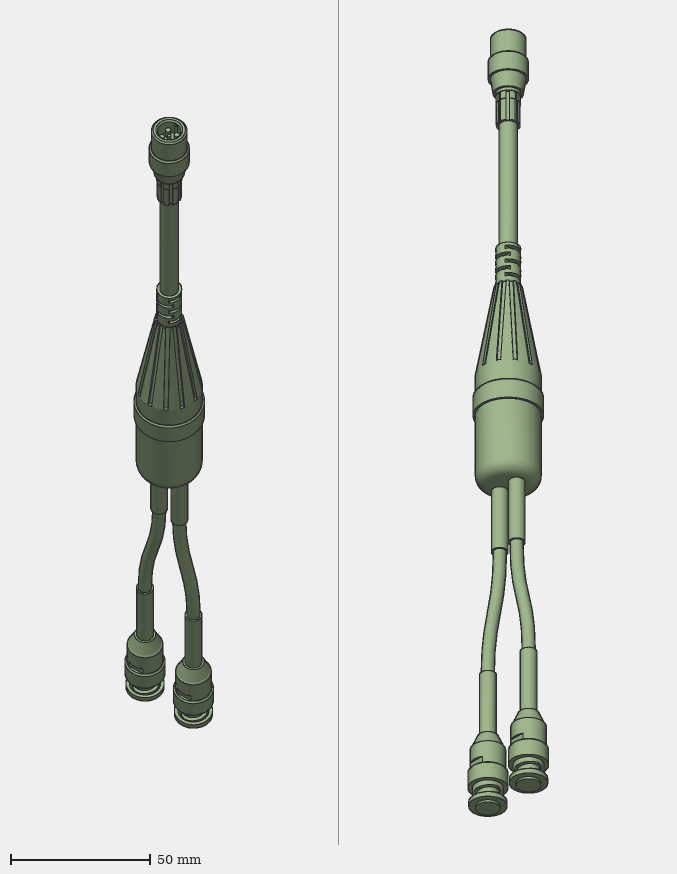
import cadquery as cq
import math


SEAM_Z = 169.7
TAPER_BOTTOM_Z = 178.0
TAPER_TOP_Z = 215.7
HOUSING_DIA = 23.8
TAPER_TOP_DIA = 10.3
TAPER_GROOVES = 12
TAPER_GROOVE_WIDTH = 1.5
TAPER_GROOVE_DEPTH = 1.0

COLLAR_DIA = 9.0
COLLAR_TOP_Z = 232.0
NOTCH_COUNT = 5
NOTCH_FIRST_Z = 230.2
NOTCH_PITCH = 3.0
NOTCH_HEIGHT = 1.3
NOTCH_CORE_WIDTH = 4.8

TRUNK_DIA = 6.8
SLEEVE_BOTTOM_Z = 284.2
SLEEVE_STEP_Z = 293.2
SLEEVE_RIM_Z = 296.5
SLEEVE_TOP_Z = 297.7
SLEEVE_DIA = 8.7
SLEEVE_HEAD_DIA = 9.0
SLEEVE_RIM_DIA = 9.3
SLEEVE_GROOVES = 8
SLEEVE_GROOVE_WIDTH = 1.3
SLEEVE_GROOVE_DEPTH = 0.5

SOCKET_TOP_Z = 321.5
SOCKET_DIA = 13.0
SOCKET_BASE_DIA = 11.0
SOCKET_RING_DIA = 14.5
SOCKET_RING_BOTTOM_Z = 303.8
SOCKET_RING_TOP_Z = 312.0
SOCKET_BORE_DIA = 8.5
SOCKET_BORE_DEPTH = 6.5
CONTACT_DIA = 2.0
CONTACT_OFFSET = 2.0
CENTER_CONTACT_DIA = 1.3
CONTACT_HEIGHT = 3.2
KEY_DIA = 1.3
KEY_HEIGHT = 5.0
EDGE_CHAMFER = 0.5

BAND_DIA = 25.5
BAND_BOTTOM_Z = 161.5
HOUSING_BOTTOM_Z = 131.5
HOUSING_BOTTOM_RADIUS = 4.5

BRANCH_DIA = 4.8
BRANCH_SLEEVE_DIA = 6.0
BRANCH_TOP_X = 4.5
UPPER_SLEEVE_BOTTOM_Z = 105.8
BEND_TOP_Z = 103.2
BEND_BOTTOM_Z = 59.0
LOWER_SLEEVE_TOP_Z = 56.5

OVERALL_WIDTH = 36.0
PLUG_RING_DIA = 14.5
PLUG_X = (OVERALL_WIDTH - PLUG_RING_DIA) / 2
PLUG_TIP_DIA = 9.0
PLUG_FLANGE_DIA = 13.8
PLUG_FLANGE_BOTTOM_Z = 1.0
PLUG_FLANGE_TOP_Z = 3.0
PLUG_NECK_DIA = 11.3
PLUG_RING_BOTTOM_Z = 8.7
PLUG_RING_TOP_Z = 15.8
PLUG_BODY_DIA = 13.0
PLUG_BODY_TOP_Z = 25.5
PLUG_CONE_DIA = 12.0
PLUG_CONE_TOP_DIA = 7.7
PLUG_CONE_TOP_Z = 30.2
FLAT_TOP_Z = 18.3
BAYONET_LENGTH = 9.5
BAYONET_WIDTH = 3.0
BAYONET_SLOPE = 5
BAYONET_Z = 5.0
BAYONET_FLOOR_DIA = 8.5
BAYONET_DIRECTIONS = (-47, 133)


def turned(steps):
    """Solid of revolution about Z from (diameter, z) steps, listed from bottom to top."""
    radii = [(dia / 2, z) for dia, z in steps]
    points = [(0, steps[0][1])] + radii + [(0, steps[-1][1])]
    return cq.Workplane("XZ").polyline(points).close().revolve(360, (0, 0, 0), (0, 1, 0))


def cylinder(dia, bottom_z, top_z, x=0.0):
    return cq.Workplane("XY", origin=(x, 0, bottom_z)).circle(dia / 2).extrude(top_z - bottom_z)


def block(x_size, y_size, bottom_z, top_z):
    return cq.Workplane("XY").workplane(offset=bottom_z).rect(x_size, y_size).extrude(top_z - bottom_z)


def cut_grooves(body, floor_bottom, floor_top, outer_radius, width, count):
    """Cut evenly spaced grooves along Z whose floor runs between two (radius, z) points."""
    outline = [floor_bottom, floor_top, (outer_radius, floor_top[1]), (outer_radius, floor_bottom[1])]
    cutter = cq.Workplane("XZ").polyline(outline).close().extrude(width / 2, both=True)
    for i in range(count):
        body = body.cut(cutter.rotate((0, 0, 0), (0, 0, 1), i * 360 / count))
    return body


def make_taper():
    taper = turned([
        (HOUSING_DIA, SEAM_Z),
        (HOUSING_DIA, TAPER_BOTTOM_Z),
        (TAPER_TOP_DIA, TAPER_TOP_Z),
    ])
    floor_bottom = (HOUSING_DIA / 2 - TAPER_GROOVE_DEPTH, TAPER_BOTTOM_Z)
    floor_top = (TAPER_TOP_DIA / 2 - TAPER_GROOVE_DEPTH, TAPER_TOP_Z)
    return cut_grooves(taper, floor_bottom, floor_top, HOUSING_DIA, TAPER_GROOVE_WIDTH, TAPER_GROOVES)


def make_collar():
    collar = cylinder(COLLAR_DIA, TAPER_TOP_Z, COLLAR_TOP_Z)
    for i in range(NOTCH_COUNT):
        center_z = NOTCH_FIRST_Z - i * NOTCH_PITCH
        bottom_z = center_z - NOTCH_HEIGHT / 2
        top_z = center_z + NOTCH_HEIGHT / 2
        if i % 2 == 0:
            core = block(NOTCH_CORE_WIDTH, COLLAR_DIA, bottom_z, top_z)
        else:
            core = block(COLLAR_DIA, NOTCH_CORE_WIDTH, bottom_z, top_z)
        collar = collar.cut(block(COLLAR_DIA, COLLAR_DIA, bottom_z, top_z).cut(core))
    return collar


def make_sleeve():
    sleeve = turned([
        (SLEEVE_DIA, SLEEVE_BOTTOM_Z),
        (SLEEVE_DIA, SLEEVE_STEP_Z),
        (SLEEVE_HEAD_DIA, SLEEVE_STEP_Z),
        (SLEEVE_HEAD_DIA, SLEEVE_RIM_Z),
        (SLEEVE_RIM_DIA, SLEEVE_RIM_Z),
        (SLEEVE_RIM_DIA, SLEEVE_TOP_Z),
    ])
    floor_radius = SLEEVE_DIA / 2 - SLEEVE_GROOVE_DEPTH
    floor_bottom = (floor_radius, SLEEVE_BOTTOM_Z)
    floor_top = (floor_radius, SLEEVE_RIM_Z)
    return cut_grooves(
        sleeve, floor_bottom, floor_top, SLEEVE_HEAD_DIA, SLEEVE_GROOVE_WIDTH, SLEEVE_GROOVES
    )


def make_socket():
    socket = turned([
        (SOCKET_BASE_DIA, SLEEVE_TOP_Z),
        (SOCKET_DIA, SOCKET_RING_BOTTOM_Z),
        (SOCKET_RING_DIA, SOCKET_RING_BOTTOM_Z),
        (SOCKET_RING_DIA, SOCKET_RING_TOP_Z - EDGE_CHAMFER),
        (SOCKET_RING_DIA - 2 * EDGE_CHAMFER, SOCKET_RING_TOP_Z),
        (SOCKET_DIA, SOCKET_RING_TOP_Z),
        (SOCKET_DIA, SOCKET_TOP_Z - EDGE_CHAMFER),
        (SOCKET_DIA - 2 * EDGE_CHAMFER, SOCKET_TOP_Z),
    ])
    bore_floor_z = SOCKET_TOP_Z - SOCKET_BORE_DEPTH
    socket = socket.cut(turned([
        (SOCKET_BORE_DIA, bore_floor_z),
        (SOCKET_BORE_DIA, SOCKET_TOP_Z - EDGE_CHAMFER),
        (SOCKET_BORE_DIA + 2 * EDGE_CHAMFER, SOCKET_TOP_Z),
    ]))
    bore_floor = cq.Workplane("XY").workplane(offset=bore_floor_z)
    outer_contacts = (
        bore_floor.rect(2 * CONTACT_OFFSET, 2 * CONTACT_OFFSET, forConstruction=True).vertices()
        .circle(CONTACT_DIA / 2).extrude(CONTACT_HEIGHT)
    )
    center_contact = bore_floor.circle(CENTER_CONTACT_DIA / 2).extrude(CONTACT_HEIGHT)
    key = bore_floor.center(0, SOCKET_BORE_DIA / 2).circle(KEY_DIA / 2).extrude(KEY_HEIGHT)
    return socket.union(outer_contacts).union(center_contact).union(key)


def make_upper_assembly():
    """First body: everything above the housing seam."""
    trunk = cylinder(TRUNK_DIA, COLLAR_TOP_Z, SLEEVE_BOTTOM_Z)
    return make_taper().union(make_collar()).union(trunk).union(make_sleeve()).union(make_socket())


def make_lower_housing():
    barrel = cylinder(HOUSING_DIA, HOUSING_BOTTOM_Z, SEAM_Z).faces("<Z").edges().fillet(HOUSING_BOTTOM_RADIUS)
    band = cylinder(BAND_DIA, BAND_BOTTOM_Z, SEAM_Z).faces(">Z").edges().chamfer(EDGE_CHAMFER)
    return barrel.union(band)


def make_branch_cable():
    """Right-hand branch: two sleeves joined by a thin cable with an S-bend of two equal arcs."""
    half_shift = (PLUG_X - BRANCH_TOP_X) / 2
    half_height = (BEND_TOP_Z - BEND_BOTTOM_Z) / 2
    bend_radius = (half_shift ** 2 + half_height ** 2) / (2 * half_shift)
    half_angle = math.asin(half_height / bend_radius) / 2
    sag_x = bend_radius * (1 - math.cos(half_angle))
    sag_z = bend_radius * math.sin(half_angle)
    middle = (BRANCH_TOP_X + half_shift, BEND_TOP_Z - half_height)
    path = (
        cq.Workplane("XZ").moveTo(BRANCH_TOP_X, UPPER_SLEEVE_BOTTOM_Z).lineTo(BRANCH_TOP_X, BEND_TOP_Z)
        .threePointArc((BRANCH_TOP_X + sag_x, BEND_TOP_Z - sag_z), middle)
        .threePointArc((PLUG_X - sag_x, BEND_BOTTOM_Z + sag_z), (PLUG_X, BEND_BOTTOM_Z))
        .lineTo(PLUG_X, LOWER_SLEEVE_TOP_Z)
    )
    start = cq.Workplane("XY", origin=(BRANCH_TOP_X, 0, UPPER_SLEEVE_BOTTOM_Z))
    cable = start.circle(BRANCH_DIA / 2).sweep(path)
    upper_sleeve = cylinder(BRANCH_SLEEVE_DIA, UPPER_SLEEVE_BOTTOM_Z, HOUSING_BOTTOM_Z, BRANCH_TOP_X)
    lower_sleeve = cylinder(BRANCH_SLEEVE_DIA, PLUG_CONE_TOP_Z, LOWER_SLEEVE_TOP_Z, PLUG_X)
    return cable.union(upper_sleeve).union(lower_sleeve)


def make_plug():
    """Bayonet plug standing on the Z axis."""
    plug = turned([
        (PLUG_TIP_DIA, 0),
        (PLUG_TIP_DIA, PLUG_FLANGE_BOTTOM_Z),
        (PLUG_FLANGE_DIA, PLUG_FLANGE_BOTTOM_Z),
        (PLUG_FLANGE_DIA, PLUG_FLANGE_TOP_Z),
        (PLUG_NECK_DIA, PLUG_FLANGE_TOP_Z),
        (PLUG_NECK_DIA, PLUG_RING_BOTTOM_Z),
        (PLUG_RING_DIA, PLUG_RING_BOTTOM_Z),
        (PLUG_RING_DIA, PLUG_RING_TOP_Z - EDGE_CHAMFER),
        (PLUG_RING_DIA - 2 * EDGE_CHAMFER, PLUG_RING_TOP_Z),
        (PLUG_BODY_DIA, PLUG_RING_TOP_Z),
        (PLUG_BODY_DIA, PLUG_BODY_TOP_Z - EDGE_CHAMFER),
        (PLUG_CONE_DIA, PLUG_BODY_TOP_Z),
        (PLUG_CONE_TOP_DIA, PLUG_CONE_TOP_Z),
    ])
    band = block(PLUG_BODY_DIA, PLUG_BODY_DIA, PLUG_RING_TOP_Z, FLAT_TOP_Z)
    plug = plug.cut(band.cut(block(PLUG_BODY_DIA, PLUG_NECK_DIA, PLUG_RING_TOP_Z, FLAT_TOP_Z)))
    slot = (
        cq.Workplane("YZ", origin=(0, 0, BAYONET_Z))
        .slot2D(BAYONET_LENGTH, BAYONET_WIDTH, BAYONET_SLOPE).extrude(PLUG_NECK_DIA)
        .cut(cylinder(BAYONET_FLOOR_DIA, 0, PLUG_RING_TOP_Z))
    )
    for direction in BAYONET_DIRECTIONS:
        plug = plug.cut(slot.rotate((0, 0, 0), (0, 0, 1), direction))
    return plug


def make_lower_assembly():
    """Second body: lower housing half with both branches and plugs."""
    body = make_lower_housing()
    right_cable = make_branch_cable()
    plug = make_plug()
    for cable, plug_x in ((right_cable, PLUG_X), (right_cable.mirror("YZ"), -PLUG_X)):
        body = body.union(cable).union(plug.translate((plug_x, 0, 0)))
    return body


upper_assembly = make_upper_assembly()
lower_assembly = make_lower_assembly()

result = cq.Compound.makeCompound([upper_assembly.val(), lower_assembly.val()])